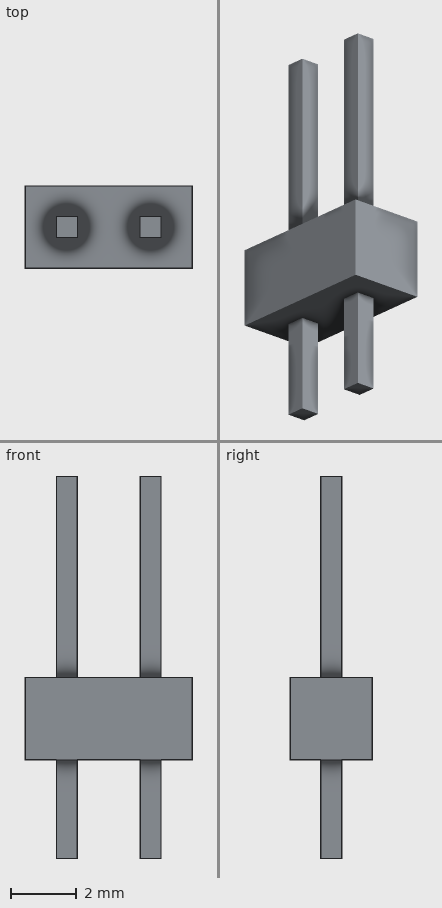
import cadquery as cq

pin_count = 2
pitch = 2.54
pin_width = 0.64
body_depth = 2.5
body_height = 2.5
pin_above_body = 6.1
pin_below_body = 3.0

body_length = pin_count * pitch
pin_length = pin_below_body + body_height + pin_above_body


def make_body():
    """Plain rectangular insulator with its underside on Z = 0."""
    return cq.Workplane("XY").rect(body_length, body_depth).extrude(body_height)


def make_pins():
    """Row of square pins, centred on the body and passing through it."""
    return (
        cq.Workplane("XY", origin=(0, 0, -pin_below_body))
        .rarray(pitch, pitch, pin_count, 1)
        .rect(pin_width, pin_width)
        .extrude(pin_length)
    )


result = make_body().union(make_pins())